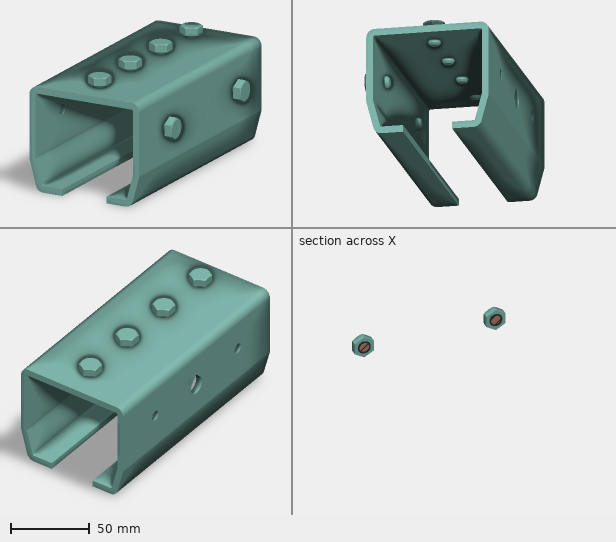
import cadquery as cq
import math

rail_length = 160.0
rail_width = 80.0
rail_height = 70.0
sheet = 4.5
inner_bend_radius = 1.0
bend_radius = sheet + inner_bend_radius
slot_width = 32.0
taper_height = 21.5
taper_angle = 15.0

tap_hole_diameter = 6.8
drop_radius = 6.0
drop_centre_z = 42.4

shank_diameter = 8.0
shank_length = 10.0
tip_chamfer = 1.25
head_height = 5.3
head_flats = 13.0
head_corners = head_flats / math.cos(math.radians(30))
head_face_diameter = 0.95 * head_flats
head_chamfer_angle = 30.0
head_gap = 2.5

top_bolt_pitch = 40.0
top_bolt_count = 4
side_bolt_offset = 45.0
side_bolt_z = 45.0

half_width = rail_width / 2
side_bolt_ys = (-side_bolt_offset, side_bolt_offset)
top_bolt_ys = [(i - (top_bolt_count - 1) / 2) * top_bolt_pitch for i in range(top_bolt_count)]


def make_channel():
    """Bent channel: rounded outer prism, hollowed by its own inward offset, slotted below."""
    half_base = half_width - taper_height * math.tan(math.radians(taper_angle))
    outer = (
        cq.Workplane("XZ", origin=(0, rail_length / 2, 0))
        .moveTo(-half_base, 0)
        .lineTo(half_base, 0)
        .lineTo(half_width, taper_height)
        .lineTo(half_width, rail_height)
        .lineTo(-half_width, rail_height)
        .lineTo(-half_width, taper_height)
        .close()
        .extrude(rail_length)
        .edges("|Y")
        .fillet(bend_radius)
    )
    cavity = (
        outer.faces("<Y")
        .wires()
        .toPending()
        .offset2D(-sheet)
        .extrude(-rail_length, combine=False)
    )
    slot = cq.Workplane("XY").box(slot_width, rail_length, 2 * sheet)
    return outer.cut(cavity).cut(slot)


def make_tap_holes():
    """Cutters for the round holes in the -X wall."""
    return (
        cq.Workplane("YZ", origin=(-half_width, 0, side_bolt_z))
        .pushPoints([(y, 0) for y in side_bolt_ys])
        .circle(tap_hole_diameter / 2)
        .extrude(sheet)
    )


def make_teardrop():
    """Cutter for the teardrop opening: an arc closed by two tangents that meet at a square point."""
    tangent = drop_radius * math.sqrt(0.5)
    return (
        cq.Workplane("YZ", origin=(-half_width, 0, drop_centre_z))
        .moveTo(-tangent, tangent)
        .threePointArc((0, -drop_radius), (tangent, tangent))
        .lineTo(0, 2 * tangent)
        .close()
        .extrude(sheet)
    )


def make_bolt():
    """Upright bolt with the underside of its head at the origin and hexagon corners along Y."""
    chamfer_drop = (head_corners - head_face_diameter) / 2 * math.tan(math.radians(head_chamfer_angle))
    crown = (
        cq.Workplane("XZ")
        .lineTo(head_corners / 2, 0)
        .lineTo(head_corners / 2, head_height - chamfer_drop)
        .lineTo(head_face_diameter / 2, head_height)
        .lineTo(0, head_height)
        .close()
        .revolve(360, (0, 0), (0, 1))
    )
    head = (
        cq.Workplane("XY")
        .polygon(6, head_corners)
        .extrude(head_height)
        .rotate((0, 0, 0), (0, 0, 1), 90)
        .intersect(crown)
    )
    shank = (
        cq.Workplane("XY")
        .circle(shank_diameter / 2)
        .extrude(-shank_length)
        .faces("<Z")
        .chamfer(tip_chamfer)
    )
    return head.union(shank)


def make_top_bolt(y):
    return make_bolt().translate((0, y, rail_height + head_gap))


def make_side_bolt(y):
    """Bolt pointing inwards through the +X wall, with two head flats facing along Y."""
    return (
        make_bolt()
        .rotate((0, 0, 0), (0, 0, 1), 90)
        .rotate((0, 0, 0), (0, 1, 0), 90)
        .translate((half_width + head_gap, y, side_bolt_z))
    )


rail = make_channel().cut(make_tap_holes()).cut(make_teardrop())
for bolt_y in side_bolt_ys:
    rail = rail.union(make_side_bolt(bolt_y))

top_bolts = [make_top_bolt(bolt_y) for bolt_y in top_bolt_ys]
for bolt in top_bolts:
    rail = rail.cut(bolt)

result = cq.Compound.makeCompound([rail.val(), *[bolt.val() for bolt in top_bolts]])